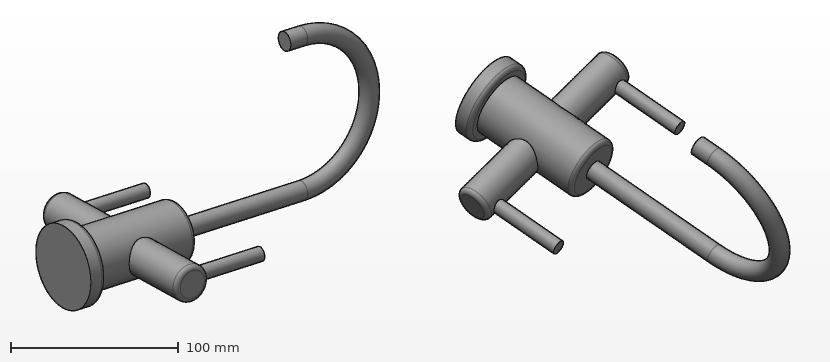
import cadquery as cq

total_length = 235.5
arm_span = 132.6
total_height = 135.0

base_radius = 27.0
base_thickness = 11.0
body_radius = 40.3 / 2
body_end = 84.3
edge_round = 2.8

arm_radius = 24.3 / 2
arm_position = 46.2
arm_round = 3.0
lever_radius = 4.7
lever_offset = 56.3
lever_end = 104.5

spout_radius = 12.5 / 2
bend_outer_radius = (total_height - base_radius + spout_radius) / 2
bend_radius = bend_outer_radius - spout_radius
bend_start = total_length - bend_outer_radius
spout_tip = 165.9


def cylinder_along_y(radius, start, end, x=0):
    """Solid cylinder parallel to Y between two Y positions."""
    disc = cq.Workplane("XZ", origin=(x, start, 0)).circle(radius)
    return disc.extrude(start - end)


def make_base():
    return cylinder_along_y(base_radius, 0, base_thickness).faces(">Y").edges().fillet(edge_round)


def make_body():
    return cylinder_along_y(body_radius, 0, body_end).faces(">Y").edges().fillet(edge_round)


def make_arms():
    disc = cq.Workplane("YZ", origin=(0, arm_position, 0)).circle(arm_radius)
    bar = disc.extrude(arm_span / 2, both=True)
    return bar.faces("<X or >X").edges().fillet(arm_round)


def make_spout():
    path = (
        cq.Workplane("YZ")
        .moveTo(arm_position, 0)
        .lineTo(bend_start, 0)
        .threePointArc((bend_start + bend_radius, bend_radius), (bend_start, 2 * bend_radius))
        .lineTo(spout_tip, 2 * bend_radius)
    )
    return cq.Workplane("XZ", origin=(0, arm_position, 0)).circle(spout_radius).sweep(path)


result = make_base().union(make_body()).union(make_arms()).union(make_spout())
for side in (-1, 1):
    lever = cylinder_along_y(lever_radius, arm_position, lever_end, side * lever_offset)
    result = result.union(lever)